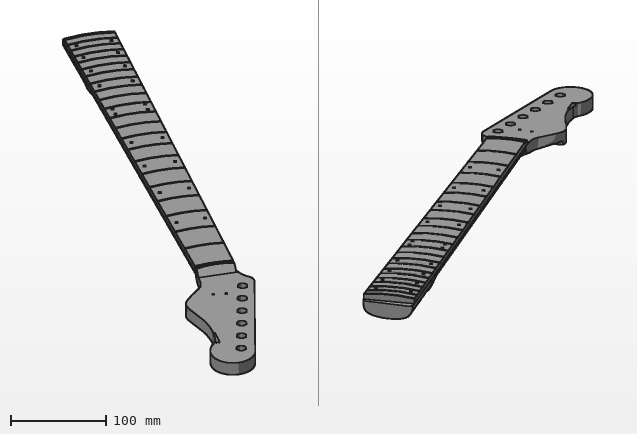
import cadquery as cq
import math


TOTAL_LENGTH = 674.5
TOP_Z = 27.0
JOINT_Z = 19.5

SCALE_LENGTH = 661.0
NUT_X = 486.0
FRET_COUNT = 22
FRETS_PER_OCTAVE = 12
FRET_SLOT_WIDTH = 1.0
FRET_SLOT_DEPTH = 1.0

HEEL_HALF_WIDTH = 27.5
NUT_HALF_WIDTH = 21.0

FRETBOARD_START_X = 9.0
FRETBOARD_END_X = 500.5
CROWN_RADIUS = 184.0
NUT_SLOT_WIDTH = 4.0
NUT_SLOT_DEPTH = 2.0
NUT_RAMP_START_X = 491.0

DOT_DIAMETER = 3.0
DOT_DEPTH = 3.0
DOT_SPREAD = 0.7
OCTAVE_DOT_OFFSET = 5.5
SINGLE_DOT_FRETS = (3, 5, 7, 9, 15, 17, 19, 21)
OCTAVE_DOT_FRET = 12

HEEL_START_X = -0.35
HEEL_BOTTOM_Z = 3.0
HEEL_FULLNESS = 0.6
HEEL_END_X = 83.5
HEEL_END_SKEW = 4.0
HEEL_CORNER_RADIUS = 5.0
COLLAR_STATIONS = ((HEEL_END_X, 1.0), (88.0, 0.0), (96.0, 2.0))
SHAFT_START_X = 110.0
SHAFT_END_X = 489.0
SHAFT_START_BOTTOM_Z = 4.3
SHAFT_END_BOTTOM_Z = 7.5
SHAFT_FULLNESS = 0.0
BACK_CURVE_REACH = 15 / 16

HEADSTOCK_BOTTOM_Z = 4.0
HEADSTOCK_TOP_Z = 19.0
FACE_START_X = 514.5
FLARE_END_X = 543.0
FLARE_HALF_WIDTH = 54.0
FLARE_FULLNESS = 0.9
NECK_SIDE_END_X = 495.0
SHOULDER_MIDDLE = (506.0, 25.5)
SHOULDER_TOP = (512.5, 32.5)
CORNER_MIDDLE = (518.0, 34.5)
TUNER_EDGE_START = (524.0, 34.0)
TIP_RADIUS = 23.5
TIP_CENTER_Y = -26.0
TIP_HOOK_START = (629.0, -40.5)
TIP_HOOK_MIDDLE = (626.0, -38.5)
TIP_HOOK_END = (623.0, -37.0)
LOBE_POINTS = ((587.0, -38.0), (561.0, -46.0), (546.5, -48.0), (535.0, -40.5), (523.0, -29.0))
LOBE_END_X = 502.5
BEVEL_START_X = 610.5
BEVEL_START_Y = -36.0
BEVEL_TOP_Y = -34.5
BEVEL_WIDTH = 4.0
BEVEL_DEPTH = 3.0
TUNER_HOLE_DIAMETER = 10.0
TUNER_COUNT = 6
FIRST_TUNER = (527.5, 19.5)
LAST_TUNER = (647.5, -16.0)
TUNER_STEP_X = (LAST_TUNER[0] - FIRST_TUNER[0]) / (TUNER_COUNT - 1)
TUNER_STEP_Y = (LAST_TUNER[1] - FIRST_TUNER[1]) / (TUNER_COUNT - 1)
STRING_TREE_HOLES = ((537.5, -1.5), (535.5, -15.0))
STRING_TREE_DIAMETER = 2.0
STRING_TREE_DEPTH = 5.5

CUT_MARGIN = 7.0


def half_width(x):
    """Half width of the tapered neck at a place along its length."""
    return HEEL_HALF_WIDTH + (NUT_HALF_WIDTH - HEEL_HALF_WIDTH) * x / NUT_X


def fret_x(number):
    """Equal-tempered place of a fret, counted from the nut."""
    return NUT_X - SCALE_LENGTH * (1 - 2 ** (-number / FRETS_PER_OCTAVE))



def neck_section(x, half, bottom_z, fullness):
    """Cross-section with a flat top and one smooth curve for the sides and the back.

    A greater fullness, from 0 to 1, gives a flatter back and squarer shoulders.
    """
    pull_z = JOINT_Z - (JOINT_Z - bottom_z) / BACK_CURVE_REACH
    outline = [
        (-half, JOINT_Z),
        (-half, pull_z),
        (-fullness * half, pull_z),
        (fullness * half, pull_z),
        (half, pull_z),
        (half, JOINT_Z),
    ]
    points = [cq.Vector(x, y, z) for y, z in outline]
    return cq.Wire.assembleEdges([
        cq.Edge.makeBezier(points),
        cq.Edge.makeLine(points[-1], points[0]),
    ])


def loft(start, end):
    return cq.Workplane(cq.Solid.makeLoft([start, end], True))


def tapered_section(x, bottom_z, fullness):
    return neck_section(x, half_width(x), bottom_z, fullness)


def heel():
    """Deep block with a skewed, round-cornered end."""
    body = loft(
        tapered_section(HEEL_START_X, HEEL_BOTTOM_Z, HEEL_FULLNESS),
        tapered_section(HEEL_END_X, HEEL_BOTTOM_Z, HEEL_FULLNESS),
    )
    skewed_end = (
        cq.Workplane("XY")
        .moveTo(HEEL_START_X, -HEEL_HALF_WIDTH)
        .lineTo(HEEL_END_X, -HEEL_HALF_WIDTH)
        .lineTo(HEEL_END_X, HEEL_HALF_WIDTH)
        .lineTo(HEEL_START_X + HEEL_END_SKEW, HEEL_HALF_WIDTH)
        .close()
        .extrude(TOP_Z)
    )
    corners = skewed_end.faces("<X").edges("|Z")
    return body.intersect(corners.fillet(HEEL_CORNER_RADIUS))


def collar():
    """Raised band behind the heel that falls away to the shaft."""
    sections = [tapered_section(x, z, HEEL_FULLNESS) for x, z in COLLAR_STATIONS]
    sections.append(shaft_start_section())
    band = loft(sections[0], sections[1])
    for start, end in zip(sections[1:], sections[2:]):
        band = band.union(loft(start, end))
    return band


def shaft_start_section():
    return tapered_section(SHAFT_START_X, SHAFT_START_BOTTOM_Z, SHAFT_FULLNESS)


def shaft():
    end = tapered_section(SHAFT_END_X, SHAFT_END_BOTTOM_Z, SHAFT_FULLNESS)
    return loft(shaft_start_section(), end)


def headstock_outline():
    """Slab from the nut to the rounded tip, with the tuner edge on the +Y side."""
    tip_x = TOTAL_LENGTH - TIP_RADIUS
    nut_half = half_width(SHAFT_END_X)
    edge_angle = math.atan2(TUNER_STEP_X, -TUNER_STEP_Y)
    tip_top = (
        tip_x + TIP_RADIUS * math.cos(edge_angle),
        TIP_CENTER_Y + TIP_RADIUS * math.sin(edge_angle),
    )
    return (
        cq.Workplane("XY", origin=(0, 0, HEADSTOCK_BOTTOM_Z))
        .moveTo(SHAFT_END_X, nut_half)
        .lineTo(NECK_SIDE_END_X, nut_half)
        .threePointArc(SHOULDER_MIDDLE, SHOULDER_TOP)
        .threePointArc(CORNER_MIDDLE, TUNER_EDGE_START)
        .lineTo(*tip_top)
        .threePointArc((TOTAL_LENGTH, TIP_CENTER_Y), (tip_x, TIP_CENTER_Y - TIP_RADIUS))
        .tangentArcPoint(TIP_HOOK_START, relative=False)
        .threePointArc(TIP_HOOK_MIDDLE, TIP_HOOK_END)
        .lineTo(BEVEL_START_X, BEVEL_START_Y)
        .spline(
            [*LOBE_POINTS, (LOBE_END_X, -nut_half)],
            tangents=[(-1, 0), (-1, 0)],
            includeCurrent=True,
        )
        .lineTo(SHAFT_END_X, -nut_half)
        .close()
        .extrude(JOINT_Z - HEADSTOCK_BOTTOM_Z)
    )


def headstock():
    """Outline slab whose back flares out of the shaft and whose face drops below the joint."""
    flare_end = neck_section(FLARE_END_X, FLARE_HALF_WIDTH, HEADSTOCK_BOTTOM_Z, FLARE_FULLNESS)
    flare_start = tapered_section(SHAFT_END_X, HEADSTOCK_BOTTOM_Z, SHAFT_FULLNESS)
    plate = cq.Workplane("XY").box(
        TOTAL_LENGTH - FLARE_END_X, 2 * FLARE_HALF_WIDTH, TOP_Z, centered=(False, True, False)
    ).translate((FLARE_END_X, 0, 0))
    envelope = loft(flare_start, flare_end).union(plate)
    ramp_middle = (
        (FRETBOARD_END_X + FACE_START_X) / 2,
        HEADSTOCK_TOP_Z + (JOINT_Z - HEADSTOCK_TOP_Z) / 4,
    )
    relief = (
        cq.Workplane("XZ")
        .moveTo(FRETBOARD_END_X, JOINT_Z)
        .threePointArc(ramp_middle, (FACE_START_X, HEADSTOCK_TOP_Z))
        .lineTo(TOTAL_LENGTH, HEADSTOCK_TOP_Z)
        .lineTo(TOTAL_LENGTH, TOP_Z)
        .lineTo(FRETBOARD_END_X, TOP_Z)
        .close()
        .extrude(FLARE_HALF_WIDTH, both=True)
    )
    return headstock_outline().intersect(envelope).cut(relief)


def edge_bevel():
    """Wedge that slopes off the top edge beside the tip."""
    return (
        cq.Workplane("YZ", origin=(BEVEL_START_X, 0, 0))
        .moveTo(BEVEL_TOP_Y, HEADSTOCK_TOP_Z)
        .lineTo(BEVEL_TOP_Y - BEVEL_WIDTH, HEADSTOCK_TOP_Z - BEVEL_DEPTH)
        .lineTo(BEVEL_TOP_Y - BEVEL_WIDTH, HEADSTOCK_TOP_Z)
        .close()
        .extrude(TIP_HOOK_START[0] - BEVEL_START_X)
    )


def headstock_holes():
    tuner_points = [
        (FIRST_TUNER[0] + i * TUNER_STEP_X, FIRST_TUNER[1] + i * TUNER_STEP_Y) for i in range(TUNER_COUNT)
    ]
    tuners = cq.Workplane("XY").pushPoints(tuner_points).circle(TUNER_HOLE_DIAMETER / 2).extrude(TOP_Z)
    trees = (
        cq.Workplane("XY", origin=(0, 0, HEADSTOCK_TOP_Z - STRING_TREE_DEPTH))
        .pushPoints(STRING_TREE_HOLES)
        .circle(STRING_TREE_DIAMETER / 2)
        .extrude(TOP_Z)
    )
    return tuners.union(trees)


def make_neck():
    return heel().union(collar()).union(shaft()).union(headstock()).cut(edge_bevel()).cut(headstock_holes())



def crown_cylinder(radius):
    """Long cylinder whose surface is the crown, or lies evenly below it."""
    return (
        cq.Workplane("YZ", origin=(-CUT_MARGIN, 0, 0))
        .center(0, TOP_Z - CROWN_RADIUS)
        .circle(radius)
        .extrude(TOTAL_LENGTH)
    )


def fretboard_blank():
    start_half = half_width(FRETBOARD_START_X)
    end_half = half_width(FRETBOARD_END_X)
    blank = (
        cq.Workplane("XY", origin=(0, 0, JOINT_Z))
        .moveTo(FRETBOARD_START_X, -start_half)
        .lineTo(FRETBOARD_END_X, -end_half)
        .lineTo(FRETBOARD_END_X, end_half)
        .lineTo(FRETBOARD_START_X, start_half)
        .close()
        .extrude(TOP_Z - JOINT_Z)
    )
    side_profile = (
        cq.Workplane("XZ")
        .moveTo(FRETBOARD_START_X, JOINT_Z)
        .lineTo(FRETBOARD_END_X, JOINT_Z)
        .lineTo(NUT_RAMP_START_X, TOP_Z)
        .lineTo(FRETBOARD_START_X, TOP_Z)
        .close()
        .extrude(HEEL_HALF_WIDTH, both=True)
    )
    return blank.intersect(side_profile).intersect(crown_cylinder(CROWN_RADIUS))


def cross_slots(centers, width, depth):
    """Slots across the fretboard, evenly deep below the crown."""
    bars = (
        cq.Workplane("XY", origin=(0, 0, JOINT_Z))
        .pushPoints([(x, 0) for x in centers])
        .rect(width, 2 * HEEL_HALF_WIDTH + CUT_MARGIN)
        .extrude(TOP_Z - JOINT_Z + CUT_MARGIN)
    )
    return bars.cut(crown_cylinder(CROWN_RADIUS - depth))


def dot_holes():
    centers = [(fret_x(n - 1) + fret_x(n)) / 2 for n in SINGLE_DOT_FRETS]
    octave = (fret_x(OCTAVE_DOT_FRET - 1) + fret_x(OCTAVE_DOT_FRET)) / 2
    centers += [octave - OCTAVE_DOT_OFFSET, octave + OCTAVE_DOT_OFFSET]
    points = [(x, side * DOT_SPREAD * half_width(x)) for x in centers for side in (-1, 1)]
    return (
        cq.Workplane("XY", origin=(0, 0, TOP_Z - DOT_DEPTH))
        .pushPoints(points)
        .circle(DOT_DIAMETER / 2)
        .extrude(DOT_DEPTH)
    )


def make_fretboard():
    frets = [fret_x(n) for n in range(1, FRET_COUNT + 1)]
    nut_slot_x = NUT_X + NUT_SLOT_WIDTH / 2
    return (
        fretboard_blank()
        .cut(cross_slots(frets, FRET_SLOT_WIDTH, FRET_SLOT_DEPTH))
        .cut(cross_slots([nut_slot_x], NUT_SLOT_WIDTH, NUT_SLOT_DEPTH))
        .cut(dot_holes())
    )


neck = make_neck()
fretboard = make_fretboard()

result = cq.Compound.makeCompound([neck.val(), fretboard.val()])